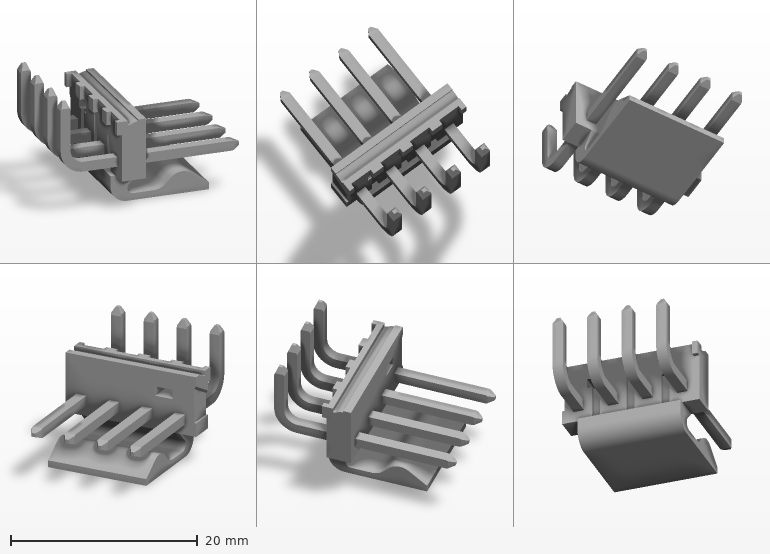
import cadquery as cq
import math


pin_count = 4
pitch = 3.95
pin_width = 1.2
pin_thickness = 1.13
pin_bottom = 1.24
pin_top = 9.43
pin_front = -6.5
pin_back = 14.1
bend_inner_radius = 1.5
tip_width = 0.37
tip_thickness = 0.43
tip_long_taper = 0.9
tip_side_taper = 0.68

body_length = 15.7
body_depth = 2.78
body_height = 6.9

tab_width = 1.34
tab_depth = 0.55
tab_bottom = 5.38

top_groove_front = 0.7
top_groove_floor_back = 0.97
top_groove_back = 1.9
top_groove_depth = 0.5
top_groove_step = 0.19
top_groove_bulge = 0.072

slot_width = 0.9
slot_depth = 0.4
slot_top = 3.87
window_width = 2.05
window_height = 1.07

recess_depth = 0.25
recess_bottom = 1.57
recess_front_top = 4.37
recess_back_top = 5.83
recess_bevel = 0.3

tongue_width = 11.78
tongue_bottom = -3.11
tongue_thickness = 0.78
tongue_tip = 10.75
heel_outer_radius = 1.9
heel_inner_radius = 0.65
hump_apex = 7.66
hump_apex_height = -0.6
hump_radius = 1.81
hump_tip_angle = 33.0

pin_positions = [(i - (pin_count - 1) / 2) * pitch for i in range(pin_count)]
gap_positions = [(i - pin_count / 2) * pitch for i in range(pin_count + 1)]


def box(x_range, y_range, z_range):
    """Axis-aligned block between the given limits."""
    (x0, x1), (y0, y1), (z0, z1) = x_range, y_range, z_range
    return cq.Workplane("XY").box(x1 - x0, y1 - y0, z1 - z0, centered=False).translate((x0, y0, z0))


def centred(middle, width):
    return (middle - width / 2, middle + width / 2)


def extrude_along_x(profile, width):
    """Extrude a closed YZ profile symmetrically about X = 0."""
    return profile.extrude(width / 2, both=True)


def pointed_strip(plane, root, end):
    """Pin-wide strip from root to end whose two sides taper to the blunt tip at the end."""
    half = pin_width / 2
    half_tip = tip_width / 2
    shoulder = end - tip_side_taper
    outline = [
        (-half, root),
        (half, root),
        (half, shoulder),
        (half_tip, end),
        (-half_tip, end),
        (-half, shoulder),
    ]
    reach = pin_back - pin_front
    return cq.Workplane(plane).polyline(outline).close().extrude(reach, both=True)


def make_pin():
    """One L-shaped rectangular pin with a blunt tapered tip at both ends, centred on X = 0."""
    outer_radius = bend_inner_radius + pin_thickness
    upper_side = pin_bottom + pin_thickness
    inner_side = pin_front + pin_thickness
    middle_z = pin_bottom + pin_thickness / 2
    middle_y = pin_front + pin_thickness / 2
    bend_y = pin_front + outer_radius
    bend_z = pin_bottom + outer_radius
    half_tip = tip_thickness / 2
    side = (
        cq.Workplane("YZ")
        .moveTo(bend_y, pin_bottom)
        .lineTo(pin_back - tip_long_taper, pin_bottom)
        .lineTo(pin_back, middle_z - half_tip)
        .lineTo(pin_back, middle_z + half_tip)
        .lineTo(pin_back - tip_long_taper, upper_side)
        .lineTo(bend_y, upper_side)
        .radiusArc((inner_side, bend_z), bend_inner_radius)
        .lineTo(inner_side, pin_top - tip_long_taper)
        .lineTo(middle_y + half_tip, pin_top)
        .lineTo(middle_y - half_tip, pin_top)
        .lineTo(pin_front, pin_top - tip_long_taper)
        .lineTo(pin_front, bend_z)
        .radiusArc((bend_y, pin_bottom), -outer_radius)
        .close()
    )
    pin = extrude_along_x(side, pin_width)
    pin = pin.intersect(pointed_strip("XY", pin_front, pin_back))
    return pin.intersect(pointed_strip("XZ", pin_bottom, pin_top))


def make_wall():
    """Body wall with the groove along its top face."""
    floor_z = body_height - top_groove_depth
    step_z = body_height - top_groove_step
    curve_middle = (
        (top_groove_floor_back + top_groove_back) / 2,
        (floor_z + step_z) / 2 + top_groove_bulge,
    )
    section = (
        cq.Workplane("YZ")
        .moveTo(0, 0)
        .lineTo(0, body_height)
        .lineTo(top_groove_front, body_height)
        .lineTo(top_groove_front, floor_z)
        .lineTo(top_groove_floor_back, floor_z)
        .threePointArc(curve_middle, (top_groove_back, step_z))
        .lineTo(top_groove_back, body_height)
        .lineTo(body_depth, body_height)
        .lineTo(body_depth, 0)
        .close()
    )
    return extrude_along_x(section, body_length)


def make_tabs():
    """Tabs between the pins; the two outermost are cut off flush with the ends of the body."""
    half_length = body_length / 2
    tabs = cq.Workplane("XY")
    for x in gap_positions:
        left, right = centred(x, tab_width)
        x_range = (max(left, -half_length), min(right, half_length))
        tabs = tabs.add(box(x_range, (-tab_depth, 0), (tab_bottom, body_height)))
    return tabs.combine()


def make_front_cuts():
    """Slots in the front face between the pins, plus the window above the first slot."""
    window_x, middle_x, last_x = gap_positions[1:-1]
    window_z = (slot_top, slot_top + window_height)
    cuts = box(centred(window_x, window_width), (0, body_depth), window_z)
    for x, top in ((window_x, slot_top), (middle_x, tab_bottom), (last_x, slot_top)):
        cuts = cuts.add(box(centred(x, slot_width), (0, slot_depth), (0, top)))
    return cuts.combine()


def make_end_recess():
    """Shallow recess in the -X end; its upper edge rises toward the back and is bevelled."""
    outer_x = -body_length / 2

    def section(y, top):
        return [
            cq.Vector(outer_x, y, recess_bottom),
            cq.Vector(outer_x + recess_depth, y, recess_bottom),
            cq.Vector(outer_x + recess_depth, y, top - recess_bevel),
            cq.Vector(outer_x, y, top),
        ]

    wires = [
        cq.Wire.makePolygon(section(0, recess_front_top), close=True),
        cq.Wire.makePolygon(section(body_depth, recess_back_top), close=True),
    ]
    return cq.Workplane(obj=cq.Solid.makeLoft(wires, True))


def make_tongue():
    """Springy lock tongue under the wall: sloped root, rounded heel and a hump near the tip."""
    floor_z = tongue_bottom + tongue_thickness
    diagonal = math.sqrt(0.5)

    heel_y = body_depth + floor_z + heel_inner_radius * (1 + math.sqrt(2))
    heel_start = (
        heel_y - heel_inner_radius * diagonal,
        floor_z + heel_inner_radius * (1 + diagonal),
    )

    arc_run = hump_radius * diagonal
    arc_rise = hump_radius * (1 - diagonal)
    ramp_top = (hump_apex - arc_run, hump_apex_height - arc_rise)
    ramp_bottom_z = floor_z + arc_rise
    ramp_bottom = (ramp_top[0] - (ramp_top[1] - ramp_bottom_z), ramp_bottom_z)
    tip_angle = math.radians(hump_tip_angle)
    hump_end = (
        hump_apex + hump_radius * math.sin(tip_angle),
        hump_apex_height - hump_radius * (1 - math.cos(tip_angle)),
    )

    section = (
        cq.Workplane("YZ")
        .moveTo(-tab_depth, 0)
        .lineTo(body_depth, 0)
        .lineTo(*heel_start)
        .tangentArcPoint((heel_y, floor_z), relative=False)
        .lineTo(ramp_bottom[0] - arc_run, floor_z)
        .tangentArcPoint(ramp_bottom, relative=False)
        .lineTo(*ramp_top)
        .tangentArcPoint((hump_apex, hump_apex_height), relative=False)
        .tangentArcPoint(hump_end, relative=False)
        .lineTo(tongue_tip, floor_z)
        .lineTo(tongue_tip, tongue_bottom)
        .lineTo(heel_outer_radius - tab_depth, tongue_bottom)
        .tangentArcPoint((-tab_depth, tongue_bottom + heel_outer_radius), relative=False)
        .close()
    )
    return extrude_along_x(section, tongue_width)


body = make_wall().union(make_tabs()).cut(make_front_cuts()).cut(make_end_recess())
result = body.union(make_tongue())
pin = make_pin()
for x in pin_positions:
    result = result.union(pin.translate((x, 0, 0)))